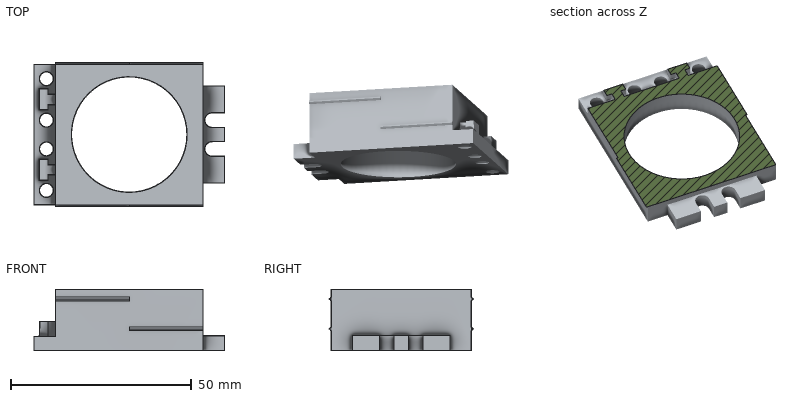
import cadquery as cq
import math

body_length = 41.0
body_width = 39.0
body_height = 17.0
bore_diameter = 32.0

overall_length = 53.0
flange_length = (overall_length - body_length) / 2
ledge_height = 4.0
tab_height = 4.2
tab_width = 27.0

screw_offset_x = 23.0
inner_screw_y = 4.0
outer_screw_y = 15.5
screw_hole_diameter = 3.8
slot_width = 4.0

lug_center_y = 9.75
lug_height = 4.1
lug_front_x = -25.0
lug_head_depth = 2.4
lug_head_width = 6.0
lug_stem_width = 3.0
lug_draft_angle = 2.0
lug_side_draft = lug_height * math.tan(math.radians(lug_draft_angle))

ridge_projection = 0.5
ridge_half_height = 0.5
upper_ridge_z = 14.35
lower_ridge_z = 6.05


def make_block():
    return cq.Workplane("XY").box(body_length, body_width, body_height, centered=(True, True, False))


def make_flange(direction, width, height):
    """Flat flange running from the centre of the block out past one end."""
    reach = body_length / 2 + flange_length
    flange = cq.Workplane("XY").box(reach, width, height, centered=(True, True, False))
    return flange.translate((direction * reach / 2, 0, 0))


def tapered_bar(x_start, x_end, width, front_draft):
    """Bar on the ledge whose sides lean inward; the front leans by front_draft."""
    length = x_end - x_start
    top_length = length - front_draft
    top_width = width - 2 * lug_side_draft
    return (
        cq.Workplane("XY", origin=(x_end, 0, ledge_height))
        .center(-length / 2, 0)
        .rect(length, width)
        .workplane(offset=lug_height)
        .center((length - top_length) / 2, 0)
        .rect(top_length, top_width)
        .loft(ruled=True)
    )


def make_lug(center_y):
    head_back_x = lug_front_x + lug_head_depth
    head = tapered_bar(lug_front_x, head_back_x, lug_head_width, lug_side_draft)
    stem_start_x = (lug_front_x + head_back_x) / 2
    stem = tapered_bar(stem_start_x, -body_length / 2, lug_stem_width, 0)
    return head.union(stem).translate((0, center_y, 0))


def make_ridge(x_start, center_z):
    """Half-length ridge on the -Y side, starting at x_start."""
    side_y = -body_width / 2
    profile = [
        (side_y, center_z - ridge_half_height),
        (side_y - ridge_projection, center_z),
        (side_y, center_z + ridge_half_height),
    ]
    return (
        cq.Workplane("YZ", origin=(x_start, 0, 0))
        .polyline(profile)
        .close()
        .extrude(body_length / 2)
    )


def make_ridge_pair(turn):
    """High ridge on one half and low ridge on the other, turned about the Z axis."""
    high = make_ridge(-body_length / 2, upper_ridge_z)
    low = make_ridge(0, lower_ridge_z)
    return [ridge.rotate((0, 0, 0), (0, 0, 1), turn) for ridge in (high, low)]


def make_bore():
    return cq.Workplane("XY").circle(bore_diameter / 2).extrude(body_height)


def make_screw_holes():
    rows = [-outer_screw_y, -inner_screw_y, inner_screw_y, outer_screw_y]
    return (
        cq.Workplane("XY")
        .pushPoints([(-screw_offset_x, y) for y in rows])
        .circle(screw_hole_diameter / 2)
        .extrude(ledge_height)
    )


def make_slot(center_y):
    """Round-ended slot that opens through the outer edge of the tab."""
    slot_run = overall_length / 2 - screw_offset_x
    rounded_end = (
        cq.Workplane("XY", origin=(screw_offset_x, center_y, 0))
        .circle(slot_width / 2)
        .extrude(tab_height)
    )
    channel = (
        cq.Workplane("XY", origin=(screw_offset_x, center_y, 0))
        .box(slot_run, slot_width, tab_height, centered=(False, True, False))
    )
    return rounded_end.union(channel)


result = make_block()
result = result.union(make_flange(-1, body_width, ledge_height))
result = result.union(make_flange(1, tab_width, tab_height))

for lug_y in (-lug_center_y, lug_center_y):
    result = result.union(make_lug(lug_y))

for half_turn in (0, 180):
    for side_ridge in make_ridge_pair(half_turn):
        result = result.union(side_ridge)

result = result.cut(make_bore())
result = result.cut(make_screw_holes())
for slot_y in (-inner_screw_y, inner_screw_y):
    result = result.cut(make_slot(slot_y))